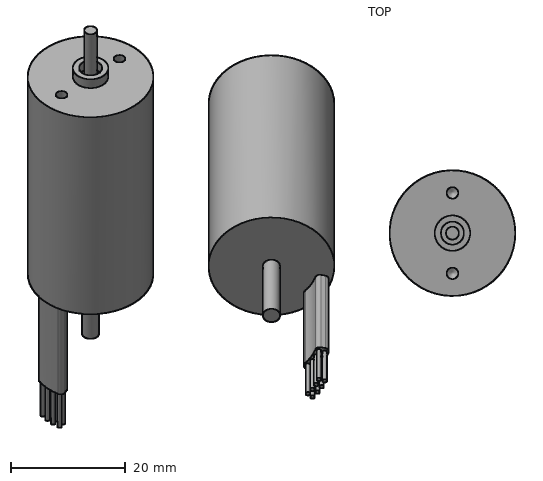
import cadquery as cq
import math

HOUSING_DIAMETER = 22.0
HOUSING_HEIGHT = 45.0
COLLAR_DIAMETER = 6.2
COLLAR_HEIGHT = 2.0
COLLAR_BORE_DIAMETER = 4.0

MOUNT_HOLE_DIAMETER = 2.0
MOUNT_HOLE_DEPTH = 3.35
MOUNT_HOLE_OFFSET = 7.0
DRILL_POINT_ANGLE = 118.0

OUTPUT_DIAMETER = 2.3
OUTPUT_LENGTH = 10.6
REAR_DIAMETER = 3.0
REAR_LENGTH = 13.65

SHEATH_INNER_RADIUS = 8.0
SHEATH_OUTER_RADIUS = 10.5
SHEATH_HALF_ANGLE = 18.0
SHEATH_CORNER_RADIUS = 0.8
SHEATH_LENGTH = 20.1
WIRE_DIAMETER = 0.8
WIRE_LENGTH = 7.95
WIRE_ROW_SPACING = 1.1
WIRES_PER_ROW = 4
WIRE_PITCH = 1.3

SHEATH_MIDDLE_RADIUS = (SHEATH_INNER_RADIUS + SHEATH_OUTER_RADIUS) / 2
WIRE_ROW_RADII = [SHEATH_MIDDLE_RADIUS + side * WIRE_ROW_SPACING / 2 for side in (-1, 1)]


def cylinder(diameter, bottom, height):
    """Cylinder on the motor axis, rising from the given Z."""
    return cq.Workplane("XY").workplane(offset=bottom).circle(diameter / 2).extrude(height)


def polar_point(radius, angle):
    """Point at a radius, with the angle in degrees measured from -Y towards +X."""
    turn = math.radians(angle)
    return (radius * math.sin(turn), -radius * math.cos(turn))


def make_shaft():
    rear = cylinder(REAR_DIAMETER, -REAR_LENGTH, REAR_LENGTH)
    output = cylinder(OUTPUT_DIAMETER, 0, HOUSING_HEIGHT + OUTPUT_LENGTH)
    return rear.union(output)


def make_mount_hole(y):
    """Cutter for one blind hole at the given Y, revolved about its own axis."""
    radius = MOUNT_HOLE_DIAMETER / 2
    tip_depth = radius / math.tan(math.radians(DRILL_POINT_ANGLE / 2))
    profile = [
        (0, 0),
        (radius, 0),
        (radius, -MOUNT_HOLE_DEPTH),
        (0, -MOUNT_HOLE_DEPTH - tip_depth),
    ]
    hole = cq.Workplane("XZ").polyline(profile).close().revolve(360, (0, 0), (0, 1))
    return hole.translate((0, y, HOUSING_HEIGHT))


def make_sheath():
    sheath = (
        cq.Workplane("XY")
        .moveTo(*polar_point(SHEATH_OUTER_RADIUS, -SHEATH_HALF_ANGLE))
        .threePointArc(
            polar_point(SHEATH_OUTER_RADIUS, 0),
            polar_point(SHEATH_OUTER_RADIUS, SHEATH_HALF_ANGLE),
        )
        .lineTo(*polar_point(SHEATH_INNER_RADIUS, SHEATH_HALF_ANGLE))
        .threePointArc(
            polar_point(SHEATH_INNER_RADIUS, 0),
            polar_point(SHEATH_INNER_RADIUS, -SHEATH_HALF_ANGLE),
        )
        .close()
        .extrude(-SHEATH_LENGTH)
    )
    return sheath.edges("|Z").fillet(SHEATH_CORNER_RADIUS)


def make_wires():
    """Bare wire ends below the sheath, evenly spaced along each curved row."""
    pitch_angle = math.degrees(WIRE_PITCH / SHEATH_MIDDLE_RADIUS)
    centers = [
        polar_point(radius, (index - (WIRES_PER_ROW - 1) / 2) * pitch_angle)
        for radius in WIRE_ROW_RADII
        for index in range(WIRES_PER_ROW)
    ]
    return (
        cq.Workplane("XY")
        .workplane(offset=-SHEATH_LENGTH)
        .pushPoints(centers)
        .circle(WIRE_DIAMETER / 2)
        .extrude(-WIRE_LENGTH)
    )


def make_housing():
    """Motor housing with its fixed cable, bored for the shaft."""
    body = cylinder(HOUSING_DIAMETER, 0, HOUSING_HEIGHT)
    body = body.union(cylinder(COLLAR_DIAMETER, HOUSING_HEIGHT, COLLAR_HEIGHT))
    body = body.cut(cylinder(COLLAR_BORE_DIAMETER, HOUSING_HEIGHT, COLLAR_HEIGHT))
    body = body.cut(cylinder(OUTPUT_DIAMETER, 0, HOUSING_HEIGHT))
    for y in (-MOUNT_HOLE_OFFSET, MOUNT_HOLE_OFFSET):
        body = body.cut(make_mount_hole(y))
    return body.union(make_sheath()).union(make_wires())


housing = make_housing()
shaft = make_shaft()

result = cq.Compound.makeCompound([housing.val(), shaft.val()])